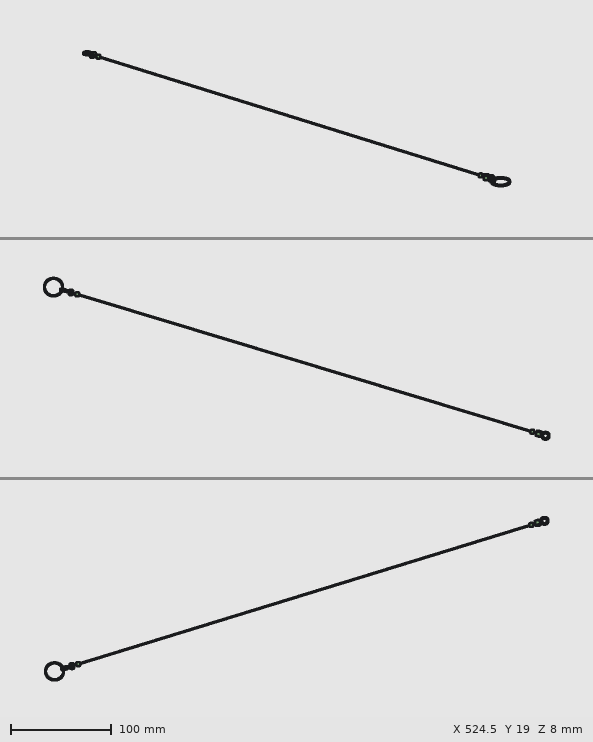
import cadquery as cq

overall_length = 524.48
eye_pitch = 500.0
eye_diameter = 8.0
left_eye_x = eye_diameter / 2
right_eye_x = left_eye_x + eye_pitch

eye_hole_diameter = 5.0
eye_thickness = 0.9
neck_width = 5.0
barrel_diameter = 5.0
barrel_length = 4.75
barrel_distance = 7.1

cable_diameter = 0.91
ball_diameter = 4.5
ball_distance = 13.75

ring_outer_diameter = 18.98
ring_wire_diameter = 1.02
coil_spacing = 0.84
ring_center_x = overall_length - ring_outer_diameter / 2


def eye_plate():
    """Flat eye centred on the origin, with its neck reaching the barrel axis."""
    disc = cq.Workplane("XY").circle(eye_diameter / 2).extrude(eye_thickness / 2, both=True)
    neck = cq.Workplane("XY").box(barrel_distance, neck_width, eye_thickness, centered=(False, True, True))
    hole = cq.Workplane("XY").circle(eye_hole_diameter / 2).extrude(eye_thickness, both=True)
    return disc.union(neck).cut(hole)


def barrel():
    """Cylinder across the cable, lying in the plane of the eye."""
    section = cq.Workplane("XZ", origin=(barrel_distance, 0, 0)).circle(barrel_diameter / 2)
    return section.extrude(barrel_length / 2, both=True)


def half_cable():
    """Cable from the barrel axis to the middle of the part, with its stop ball."""
    section = cq.Workplane("YZ", origin=(barrel_distance, 0, 0)).circle(cable_diameter / 2)
    cable = section.extrude(eye_pitch / 2 - barrel_distance)
    ball = cq.Workplane("XY", origin=(ball_distance, 0, 0)).sphere(ball_diameter / 2)
    return cable.union(ball)


def cable_end():
    """One half of the lanyard, with its eye on the origin and the cable leaving along +X."""
    return eye_plate().union(barrel()).union(half_cable())


def ring_coil(z):
    """One closed coil of the ring, parallel to the XY plane at height z."""
    wire_radius = ring_wire_diameter / 2
    coil = cq.Solid.makeTorus(ring_outer_diameter / 2 - wire_radius, wire_radius)
    return cq.Workplane(coil.translate(cq.Vector(ring_center_x, 0, z)))


left_end = cable_end().translate((left_eye_x, 0, 0))
right_end = (
    cable_end()
    .rotate((0, 0, 0), (0, 0, 1), 180)
    .rotate((0, 0, 0), (1, 0, 0), 90)
    .translate((right_eye_x, 0, 0))
)
split_ring = ring_coil(-coil_spacing / 2).union(ring_coil(coil_spacing / 2))

result = left_end.union(right_end).union(split_ring)